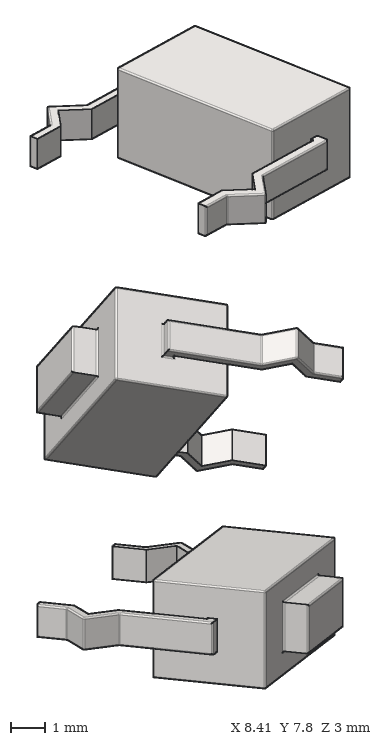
import cadquery as cq
import math

body_length = 6.005
body_depth = 3.52
body_height = 3.0

edge_radius = 0.05

button_length = 3.0
button_height = 1.5
button_travel = 0.8

overall_length = 8.41
overall_depth = 7.8
lead_thickness = 0.3
lead_width = 1.0
lead_gap = 0.1
lead_top_setback = 1.5
kink_to_tip = 1.76

body_side = body_length / 2
body_back = body_depth / 2
button_face = body_back + button_travel
lead_inner = body_side + lead_gap
lead_outer = lead_inner + lead_thickness
lead_top = body_back - lead_top_setback
lead_tip = button_face - overall_depth
foot_bottom = lead_top - lead_thickness
kink_y = lead_tip + kink_to_tip
kink_outer = overall_length / 2 + edge_radius * (math.sqrt(2) - 1)
kink_inner = kink_outer - lead_thickness * math.sqrt(2)


def round_edges(body, points):
    """Fillet the straight edges whose middles lie nearest to the given points.

    Each fillet also follows on along the edges that run smoothly out of the chosen one.
    """
    chosen = [body.edges(cq.selectors.NearestToPointSelector(point)).val() for point in points]
    return body.newObject(chosen).fillet(edge_radius)


def make_housing():
    housing = cq.Workplane("XY").box(body_length, body_depth, body_height)
    return housing.edges().fillet(edge_radius)


def make_button():
    button = cq.Workplane("XY").box(button_length, button_face, button_height)
    button = button.translate((0, button_face / 2, 0))
    return button.faces(">Y").edges().fillet(edge_radius)


def make_lead():
    """Right-hand (+X) lead: foot on the housing, straight leg, 45 degree kink and straight tip."""
    outer_rise = kink_outer - lead_outer
    inner_rise = kink_inner - lead_inner
    outer_path = [
        (lead_outer, lead_top),
        (lead_outer, kink_y + outer_rise),
        (kink_outer, kink_y),
        (lead_outer, kink_y - outer_rise),
        (lead_outer, lead_tip),
    ]
    inner_path = [
        (lead_inner, lead_tip),
        (lead_inner, kink_y - inner_rise),
        (kink_inner, kink_y),
        (lead_inner, kink_y + inner_rise),
        (lead_inner, foot_bottom),
    ]
    foot = [(0, foot_bottom), (0, lead_top)]
    lead = (
        cq.Workplane("XY")
        .polyline(outer_path + inner_path + foot)
        .close()
        .extrude(lead_width / 2, both=True)
    )
    bends = [(x, y, 0) for x, y in outer_path[1:-1]]
    leg_middle = (lead_top + kink_y + outer_rise) / 2
    rims = [(lead_outer, leg_middle, z) for z in (-lead_width / 2, lead_width / 2)]
    ends = [(lead_outer, y, 0) for y in (lead_top, lead_tip)]
    lead = round_edges(lead, bends)
    return round_edges(lead, rims + ends)


lead = make_lead()
joined = (
    make_housing()
    .union(make_button())
    .union(lead)
    .union(lead.mirror("YZ"))
)

foot_middle = (lead_top + foot_bottom) / 2
foot_roots = [(-body_side, y, 0) for y in (lead_top, foot_bottom)]
foot_roots += [(-body_side, foot_middle, z) for z in (-lead_width / 2, lead_width / 2)]
button_roots = [(x, body_back, 0) for x in (-button_length / 2, button_length / 2)]
button_roots += [(0, body_back, z) for z in (-button_height / 2, button_height / 2)]
result = round_edges(joined, foot_roots + button_roots)